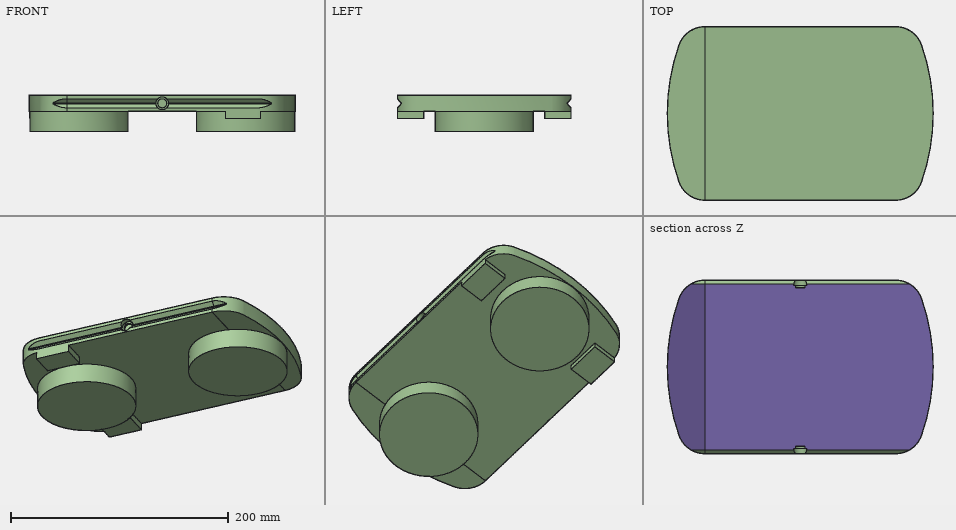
import cadquery as cq
import math

LENGTH = 245.0
WIDTH = 160.0
HEIGHT = 33.5
PLATE_THICKNESS = 15.0
CORNER_RADIUS = 25.5
CORNER_CENTRE_X = 87.8

PUCK_DIAMETER = 90.7
PUCK_INSET = 0.5
PUCK_HEIGHT = HEIGHT - PLATE_THICKNESS

FOOT_START_X = 58.0
FOOT_END_X = 90.7
FOOT_WIDTH = 24.5
FOOT_HEIGHT = 6.5

GROOVE_WIDTH = 8.3
GROOVE_FLOOR = 1.0
GROOVE_DEPTH = 3.5

RECESS_DIAMETER = 11.8
RECESS_DEPTH = 5.0
BORE_DIAMETER = 8.3
BORE_DEPTH = 6.9

half_length = LENGTH / 2
half_width = WIDTH / 2
groove_z = -PLATE_THICKNESS / 2
corner_centre_y = half_width - CORNER_RADIUS

corner_reach = half_length - CORNER_CENTRE_X
end_radius = (corner_reach**2 + corner_centre_y**2 - CORNER_RADIUS**2) / (2 * (corner_reach - CORNER_RADIUS))
end_centre_x = half_length - end_radius


def corner_point(angle):
    """Point on the corner round in the +X +Y quadrant."""
    return (
        CORNER_CENTRE_X + CORNER_RADIUS * math.cos(angle),
        corner_centre_y + CORNER_RADIUS * math.sin(angle),
    )


def outline_prism(thickness):
    """Solid with the plate outline, from Z = 0 down."""
    tangent_angle = math.atan2(corner_centre_y, CORNER_CENTRE_X - end_centre_x)
    tangent_x, tangent_y = corner_point(tangent_angle)
    middle_x, middle_y = corner_point((tangent_angle + math.pi / 2) / 2)
    return (
        cq.Workplane("XY")
        .moveTo(-CORNER_CENTRE_X, half_width)
        .lineTo(CORNER_CENTRE_X, half_width)
        .threePointArc((middle_x, middle_y), (tangent_x, tangent_y))
        .threePointArc((half_length, 0), (tangent_x, -tangent_y))
        .threePointArc((middle_x, -middle_y), (CORNER_CENTRE_X, -half_width))
        .lineTo(-CORNER_CENTRE_X, -half_width)
        .threePointArc((-middle_x, -middle_y), (-tangent_x, -tangent_y))
        .threePointArc((-half_length, 0), (-tangent_x, tangent_y))
        .threePointArc((-middle_x, middle_y), (-CORNER_CENTRE_X, half_width))
        .close()
        .extrude(-thickness)
    )


def groove_cutter(side):
    """Straight groove along X on the long edge at Y = side * half_width."""
    edge_y = side * half_width
    floor_y = side * (half_width - GROOVE_DEPTH)
    return (
        cq.Workplane("YZ", origin=(0, 0, groove_z))
        .polyline([
            (edge_y, GROOVE_WIDTH / 2),
            (floor_y, GROOVE_FLOOR / 2),
            (floor_y, -GROOVE_FLOOR / 2),
            (edge_y, -GROOVE_WIDTH / 2),
        ])
        .close()
        .extrude(half_length, both=True)
    )


def recess_cutter(side):
    """Wide shallow recess with a narrower bore in its floor."""
    plane = cq.Plane(origin=(0, side * half_width, groove_z), xDir=(1, 0, 0), normal=(0, -side, 0))
    recess = cq.Workplane(plane).circle(RECESS_DIAMETER / 2).extrude(RECESS_DEPTH)
    bore = cq.Workplane(plane).circle(BORE_DIAMETER / 2).extrude(BORE_DEPTH)
    return recess.union(bore)


def make_grooved_plate():
    plate = outline_prism(PLATE_THICKNESS)
    for side in (-1, 1):
        plate = plate.cut(groove_cutter(side)).cut(recess_cutter(side))
    return plate


def make_pucks():
    centre_x = half_length - PUCK_INSET - PUCK_DIAMETER / 2
    return (
        cq.Workplane("XY", origin=(0, 0, -PLATE_THICKNESS))
        .pushPoints([(-centre_x, 0), (centre_x, 0)])
        .circle(PUCK_DIAMETER / 2)
        .extrude(-PUCK_HEIGHT)
    )


def make_foot(side):
    """Rectangular foot trimmed to the plate outline."""
    block = cq.Workplane("XY").box(
        FOOT_END_X - FOOT_START_X, FOOT_WIDTH, FOOT_HEIGHT, centered=(False, True, False)
    ).translate((FOOT_START_X, side * (half_width - FOOT_WIDTH / 2), -PLATE_THICKNESS - FOOT_HEIGHT))
    return block.intersect(outline_prism(HEIGHT))


def end_region():
    """Block holding everything of the plate beyond the joint at the -X end."""
    return cq.Workplane("XY").box(
        corner_reach, WIDTH, PLATE_THICKNESS, centered=(False, True, False)
    ).translate((-half_length, 0, -PLATE_THICKNESS))


def make_end_cap():
    return make_grooved_plate().intersect(end_region())


def make_main_body():
    """Plate up to the joint, with both pucks and both feet."""
    body = make_grooved_plate().cut(end_region()).union(make_pucks())
    for side in (-1, 1):
        body = body.union(make_foot(side))
    return body


main_body = make_main_body()
end_cap = make_end_cap()

result = cq.Compound.makeCompound([main_body.val(), end_cap.val()])